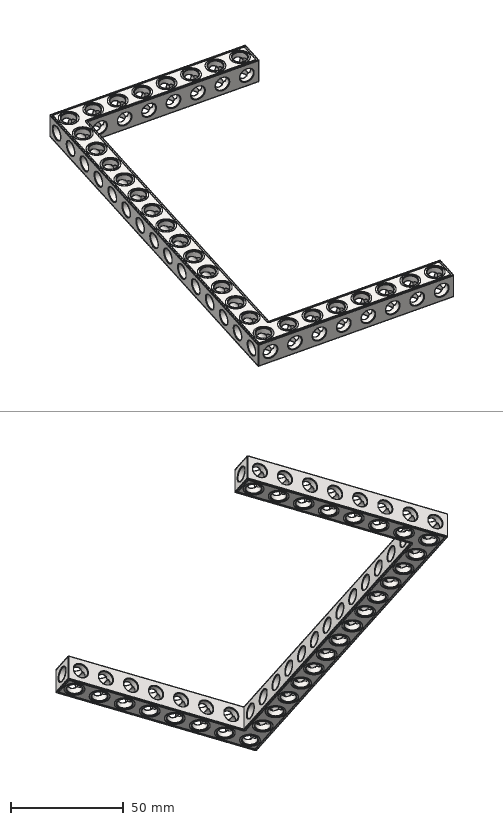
import cadquery as cq

length = 187.5
holes_along_base = 15
holes_along_leg = 8
pitch = length / holes_along_base
bar = pitch
depth = holes_along_leg * pitch

hole_radius = 7.0 / 2
collar_radius = 9.2 / 2
bevel = 0.28

rim_width = 1.03
recess_depth = 0.2

base_centers = [(i + 0.5) * pitch for i in range(holes_along_base)]
leg_centers = [(i + 0.5) * pitch for i in range(holes_along_leg)]
near_leg, *between_legs, far_leg = base_centers
base_row, *leg_rows = leg_centers
mid_height = bar / 2

vertical_centers = [(x, base_row) for x in base_centers]
vertical_centers += [(x, y) for x in (near_leg, far_leg) for y in leg_rows]


def u_outline(base_z=0.0):
    """Closed U outline, open toward +Y, on a plane at the given height."""
    return (
        cq.Workplane("XY", origin=(0, 0, base_z))
        .moveTo(0, 0)
        .lineTo(length, 0)
        .lineTo(length, depth)
        .lineTo(length - bar, depth)
        .lineTo(length - bar, bar)
        .lineTo(bar, bar)
        .lineTo(bar, depth)
        .lineTo(0, depth)
        .close()
    )


def make_frame():
    """Solid U with every edge beveled except the two inside corner edges."""
    frame = u_outline().extrude(bar)
    inside_corners = cq.selectors.BoxSelector(
        (bar / 2, bar / 2, mid_height / 2),
        (length - bar / 2, 1.5 * bar, bar - mid_height / 2),
    )
    all_edges = cq.selectors.StringSyntaxSelector("|X or |Y or |Z")
    beveled_edges = cq.selectors.SubtractSelector(all_edges, inside_corners)
    return frame.edges(beveled_edges).chamfer(bevel)


def make_recess(floor_z):
    """Shallow recess inside the rim, leaving a flush collar around each vertical bore."""
    pocket = u_outline(floor_z).offset2D(-rim_width).extrude(recess_depth)
    collars = (
        cq.Workplane("XY", origin=(0, 0, floor_z))
        .pushPoints(vertical_centers)
        .circle(collar_radius)
        .extrude(recess_depth)
    )
    return pocket.cut(collars)


def make_bore(start, direction, bore_length):
    """Through bore with a conical bevel at each mouth."""
    start = cq.Vector(*start)
    direction = cq.Vector(*direction)
    end = start + direction * bore_length
    mouth_radius = hole_radius + bevel
    cylinder = cq.Solid.makeCylinder(hole_radius, bore_length, start, direction)
    entry = cq.Solid.makeCone(mouth_radius, hole_radius, bevel, start, direction)
    leaving = cq.Solid.makeCone(mouth_radius, hole_radius, bevel, end, -direction)
    return [cylinder, entry, leaving]


def make_vertical_bores():
    bores = []
    for x, y in vertical_centers:
        bores += make_bore((x, y, 0), (0, 0, 1), bar)
    return bores


def make_front_bores():
    """Bores along Y: across the base, and lengthwise through both legs."""
    bores = []
    for x in between_legs:
        bores += make_bore((x, 0, mid_height), (0, 1, 0), bar)
    for x in (near_leg, far_leg):
        bores += make_bore((x, 0, mid_height), (0, 1, 0), depth)
    return bores


def make_side_bores():
    """Bores along X: lengthwise through the base, and across both legs."""
    bores = make_bore((0, base_row, mid_height), (1, 0, 0), length)
    for y in leg_rows:
        for leg_side in (0, length - bar):
            bores += make_bore((leg_side, y, mid_height), (1, 0, 0), bar)
    return bores


frame = make_frame()
frame = frame.cut(make_recess(0)).cut(make_recess(bar - recess_depth))
bores = make_vertical_bores() + make_front_bores() + make_side_bores()
result = cq.Workplane(frame.val().cut(*bores)).solids()